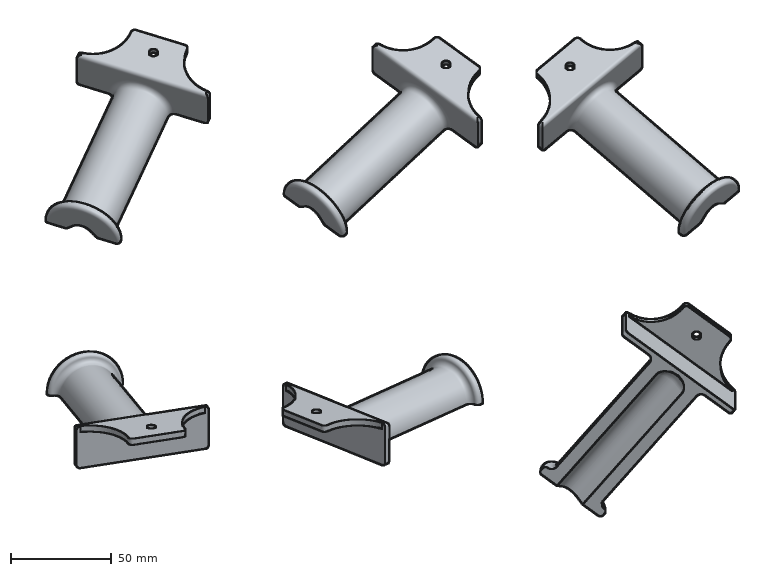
import cadquery as cq
import math

length = 111.0
plate_width = 70.0
height = 23.4
edge_radius = 2.0

handle_radius = 15.0
flange_radius = 20.0
flange_thickness = 5.0
root_radius = flange_radius - handle_radius - edge_radius

plate_thickness = 3.0
plate_front = 85.2
plate_back = plate_front + plate_thickness
tab_thickness = height - flange_radius
tab_half_width = handle_radius
scoop_radius = plate_width / 2 - tab_half_width
hole_diameter = 4.4
hole_to_tab_end = 10.0

core_radius = 6.1
core_half_width = 8.2


def make_handle():
    """Half-round grip with a rounded end flange and flared roots."""
    diagonal = math.sqrt(0.5)
    front_center = (flange_radius - edge_radius, edge_radius)
    back_center = (flange_radius - edge_radius, flange_thickness - edge_radius)
    flange_root = (handle_radius + root_radius, flange_thickness + root_radius)
    plate_root = (handle_radius + root_radius, plate_front - root_radius)

    def arc_middle(center, radius, radial, axial):
        return (center[0] + radial * radius * diagonal, center[1] + axial * radius * diagonal)

    profile = (
        cq.Workplane("XY")
        .lineTo(front_center[0], 0)
        .threePointArc(arc_middle(front_center, edge_radius, 1, -1), (flange_radius, front_center[1]))
        .lineTo(flange_radius, back_center[1])
        .threePointArc(arc_middle(back_center, edge_radius, 1, 1), (flange_root[0], flange_thickness))
        .threePointArc(arc_middle(flange_root, root_radius, -1, -1), (handle_radius, flange_root[1]))
        .lineTo(handle_radius, plate_root[1])
        .threePointArc(arc_middle(plate_root, root_radius, -1, 1), (plate_root[0], plate_front))
        .lineTo(plate_root[0], plate_back)
        .lineTo(0, plate_back)
        .close()
    )
    upper_half = cq.Workplane("XY").box(
        2 * flange_radius, length, flange_radius, centered=(True, False, False)
    )
    return profile.revolve(360, (0, 0, 0), (0, 1, 0)).intersect(upper_half)


def make_plate():
    """Upright plate with rounded corners and a rounded upper front edge."""
    plate = (
        cq.Workplane("XY")
        .box(plate_width, plate_thickness, height, centered=(True, False, False))
        .translate((0, plate_front, 0))
    )
    return plate.edges("|Y or (>Z and <Y)").fillet(edge_radius)


def make_tab():
    """Horizontal tab with a concave scoop on each side and a screw hole."""
    tab_front = plate_front + edge_radius
    root_half_width = plate_width / 2 - edge_radius
    scoop_center_y = plate_back + scoop_radius
    bottom = height - tab_thickness
    tab = (
        cq.Workplane("XY", origin=(0, 0, bottom))
        .moveTo(-root_half_width, tab_front)
        .lineTo(root_half_width, tab_front)
        .lineTo(root_half_width, scoop_center_y)
        .lineTo(tab_half_width, scoop_center_y)
        .lineTo(tab_half_width, length)
        .lineTo(-tab_half_width, length)
        .lineTo(-tab_half_width, scoop_center_y)
        .lineTo(-root_half_width, scoop_center_y)
        .close()
        .extrude(tab_thickness)
    )
    scoops = (
        cq.Workplane("XY", origin=(0, 0, bottom))
        .pushPoints([(side * plate_width / 2, scoop_center_y) for side in (-1, 1)])
        .circle(scoop_radius)
        .extrude(tab_thickness)
    )
    hole = (
        cq.Workplane("XY", origin=(0, length - hole_to_tab_end, bottom))
        .circle(hole_diameter / 2)
        .extrude(tab_thickness)
    )
    return tab.cut(scoops).edges("|Z and >Y").fillet(edge_radius).cut(hole)


def make_core():
    """Cutter for a blind channel along the handle: crowned roof, domed inner end."""
    dome_y = plate_front - core_radius
    slope_length = math.sqrt(core_half_width**2 - core_radius**2)
    tilt = math.acos(core_radius / core_half_width)
    run_length = 2 * slope_length
    dome_center = cq.Vector(0, dome_y, 0)
    core = cq.Workplane("XY").sphere(core_radius).translate(dome_center)
    crown = cq.Solid.makeCylinder(core_radius, dome_y, cq.Vector(0, 0, 0), cq.Vector(0, 1, 0))
    core = core.union(cq.Workplane(crown), clean=False)
    for side in (-1, 1):
        direction = cq.Vector(side * math.sin(tilt), 0, -math.cos(tilt))
        rounded_end = cq.Solid.makeCylinder(core_radius, run_length, dome_center, direction)
        straight_wall = (
            cq.Workplane(cq.Plane(origin=(0, 0, 0), xDir=(0, 1, 0), normal=direction))
            .rect(dome_y, 2 * core_radius)
            .extrude(run_length)
            .translate((0, dome_y / 2, 0))
        )
        core = core.union(straight_wall, clean=False).union(cq.Workplane(rounded_end), clean=False)
    return core


result = make_handle().union(make_plate()).union(make_tab()).cut(make_core(), clean=False)
result = result.translate((0, -length / 2, 0)).solids()